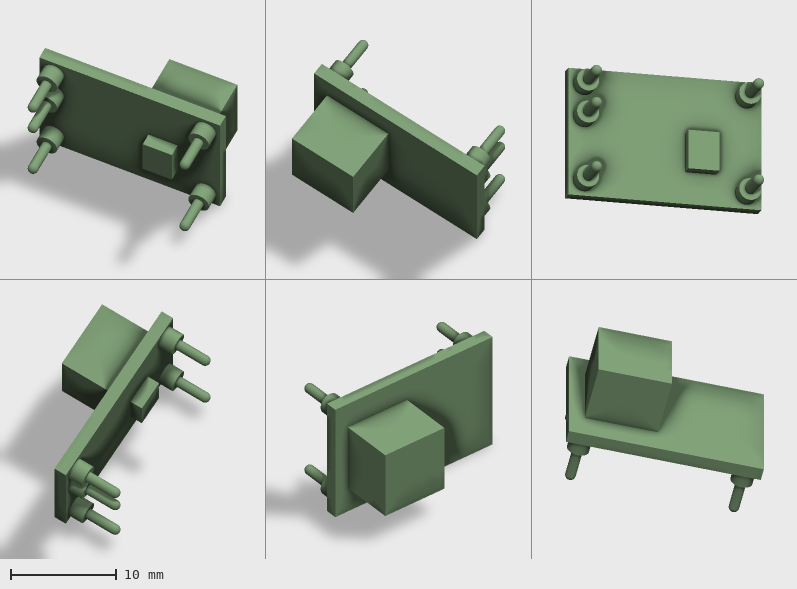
import cadquery as cq
import math

BOARD_WIDTH = 18.92
BOARD_HEIGHT = 12.56
BOARD_THICKNESS = 1.27

PIN_PITCH = 3.18
PITCHES_ACROSS = 5
PITCHES_UP = 3
PIN_DIAMETER = 1.02
PIN_LENGTH = 5.07
COLLAR_DIAMETER = 2.15
COLLAR_LENGTH = 1.53

BLOCK_SIDE = 7.11
BLOCK_DEPTH = 5.71

CHIP_WIDTH = 3.05
CHIP_HEIGHT = 3.82
CHIP_DEPTH = 1.27
CHIP_FROM_LEFT = 11.43
CHIP_FROM_BOTTOM = 3.16

PIN_RIGHT_X = PITCHES_ACROSS * PIN_PITCH / 2
PIN_LEFT_X = -PIN_RIGHT_X
PIN_TOP_Z = PITCHES_UP * PIN_PITCH / 2
PIN_BOTTOM_Z = -PIN_TOP_Z
PIN_POSITIONS = [
    (PIN_LEFT_X, PIN_TOP_Z),
    (PIN_LEFT_X, PIN_TOP_Z - PIN_PITCH),
    (PIN_LEFT_X, PIN_BOTTOM_Z),
    (PIN_RIGHT_X, PIN_TOP_Z),
    (PIN_RIGHT_X, PIN_BOTTOM_Z),
]


def make_box(width, depth, height, left, front, bottom):
    """Box placed by its left, front and bottom faces."""
    return cq.Workplane("XY").box(width, depth, height, centered=False).translate((left, front, bottom))


def make_board():
    return make_box(BOARD_WIDTH, BOARD_THICKNESS, BOARD_HEIGHT, -BOARD_WIDTH / 2, 0, -BOARD_HEIGHT / 2)


def make_block():
    """Component on the back: right side in line with the right pins, centred in height."""
    return make_box(
        BLOCK_SIDE, BLOCK_DEPTH, BLOCK_SIDE,
        PIN_RIGHT_X - BLOCK_SIDE, BOARD_THICKNESS, -BLOCK_SIDE / 2,
    )


def make_chip():
    left = CHIP_FROM_LEFT - BOARD_WIDTH / 2
    bottom = CHIP_FROM_BOTTOM - BOARD_HEIGHT / 2
    return make_box(CHIP_WIDTH, CHIP_DEPTH, CHIP_HEIGHT, left, -CHIP_DEPTH, bottom)


def make_pin(x, z):
    """Pin with a collar against the board and a hemispherical tip, revolved about its own axis."""
    pin_radius = PIN_DIAMETER / 2
    collar_radius = COLLAR_DIAMETER / 2
    tip_start_y = pin_radius - PIN_LENGTH
    tip_arc_offset = pin_radius / math.sqrt(2)
    return (
        cq.Workplane("XY")
        .lineTo(collar_radius, 0)
        .lineTo(collar_radius, -COLLAR_LENGTH)
        .lineTo(pin_radius, -COLLAR_LENGTH)
        .lineTo(pin_radius, tip_start_y)
        .threePointArc((tip_arc_offset, tip_start_y - tip_arc_offset), (0, -PIN_LENGTH))
        .close()
        .revolve(360, (0, 0), (0, 1))
        .translate((x, 0, z))
    )


board = make_board()
block = make_block()
chip = make_chip()
pins = [make_pin(x, z) for x, z in PIN_POSITIONS]

result = cq.Compound.makeCompound([
    board.val(),
    block.val(),
    chip.val(),
    *[pin.val() for pin in pins],
])